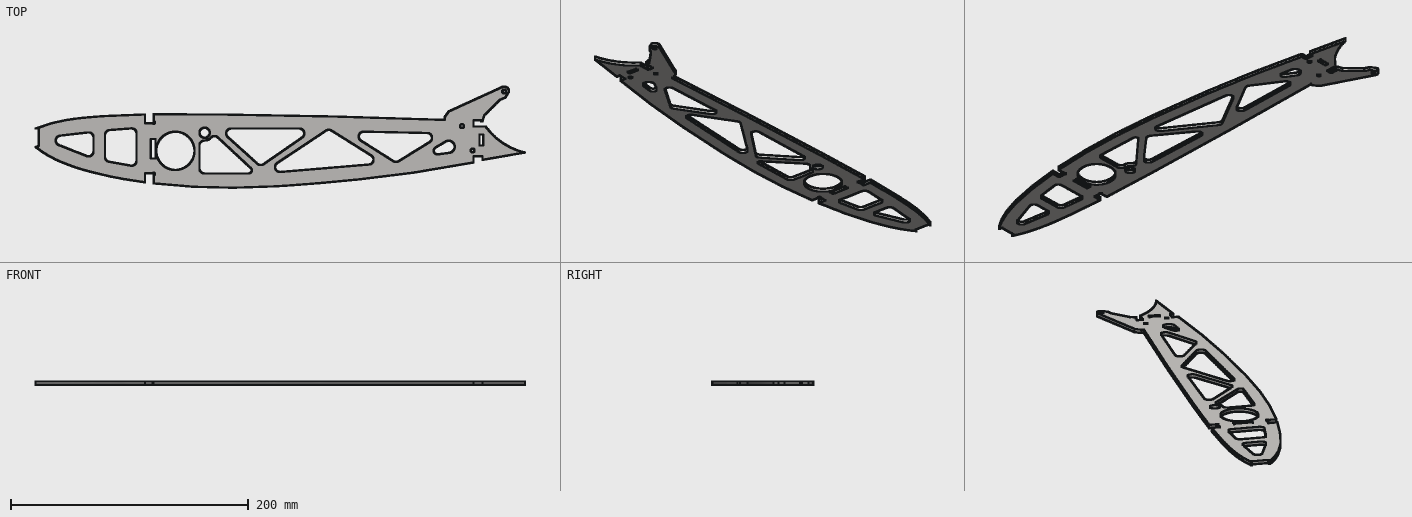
import cadquery as cq
import math

LENGTH = 411.85
HEIGHT = 85.2
THICKNESS = 3.0

NOSE_RECESS_X = 2.7
NOSE_TOP_Y = 49.8
NOSE_BOTTOM_Y = 34.3
NOSE_LIP = 0.9

BACK_END = (344.3, 57.2)
BACK_POINTS = [(16.4, 55.1), (51.8, 60.0), (92.0, 61.8), (188.0, 61.2), (252.0, 60.05), BACK_END]
BELLY_END = (368.5, 21.2)
BELLY_POINTS = [
    (314.7, 12.2),
    (239.0, 3.8),
    (164.0, 0.0),
    (99.5, 3.6),
    (75.0, 7.1),
    (48.0, 12.9),
    (16.4, 24.0),
]

SPAR_NOTCH_X = 92.2
SPAR_NOTCH_WIDTH = 7.3
BACK_NOTCH_FLOOR_Y = 54.4
BELLY_NOTCH_FLOOR_Y = 12.1
RELIEF_RADIUS = 1.0
RELIEF_OFFSET = 0.5

TAIL_NOTCH_X = 368.5
TAIL_NOTCH_WIDTH = 7.5
TAIL_NOTCH_FLOOR_Y = 26.5
TAIL_NOTCH_MOUTH_Y = 23.4
TAIL_TOP_Y = 51.7
TAIL_TOP_X = 378.6
TAIL_TIP = (LENGTH, 29.6)
TAIL_CURVE_MIDDLE = (390.5, 39.6)

ARM_END_RADIUS = 4.2
ARM_END = (394.3, HEIGHT - ARM_END_RADIUS)
ARM_FOOT = (344.0, 59.2)
ARM_SHOULDER = (347.6, 64.3)
ARM_UNDERSIDE_Y = 56.8
ARM_HOOK_DROP = 1.1
ARM_HOOK_WIDTH = 1.2
ARM_THROAT_LOW = (377.6, 60.8)
ARM_THROAT_HIGH = (390.6, 73.8)
ARM_NECK = (395.2, 75.8)

NOSE_WINDOW = [(4.8, 41.9), (48.7, 47.0), (48.7, 24.6)]
FRONT_WINDOW = [(58.6, 48.2), (84.9, 50.2), (84.9, 17.9), (58.6, 22.6)]
LOWER_FRONT_WINDOW = [(138.0, 56.6), (185.7, 12.2), (138.0, 12.2)]
UPPER_WINDOW = [(154.1, 49.7), (234.9, 49.7), (189.2, 18.1)]
LOWER_REAR_WINDOW = [(190.4, 12.1), (246.7, 49.5), (292.6, 20.7)]
REAR_WINDOW = [(261.7, 47.4), (343.2, 45.7), (303.3, 21.1)]
WINDOW_RADIUS = 4.0
SHARP_CORNER_RADIUS = 2.5

MAIN_HOLE = ((117.7, 31.1), 16.0)
TUBE_HOLE = ((142.3, 46.3), 4.2)
TUBE_LAND_RADIUS = 6.7
PIN_HOLE_RADIUS = 1.5
PIN_HOLES = [(358.8, 51.9), (367.7, 31.4), ARM_END]

TEARDROP_LARGE = ((347.6, 34.5), 5.0)
TEARDROP_SMALL = ((338.1, 31.2), 3.0)

FRONT_SLOT = ((97.0, 24.7), (3.8, 16.2))
TAIL_SLOT = ((373.6, 35.6), (3.0, 9.2))


def prism(sketch):
    return sketch.extrude(THICKNESS)


def disc(center, radius):
    return prism(cq.Workplane("XY").center(*center).circle(radius))


def block(corner, size):
    return prism(cq.Workplane("XY").center(*corner).rect(*size, centered=False))


def outer_tangent_points(first, second, side):
    """Touch points of two circles' common outer tangent; side is +1 (left of the way) or -1."""
    (x1, y1), r1 = first
    (x2, y2), r2 = second
    heading = math.atan2(y2 - y1, x2 - x1)
    angle = heading + side * math.acos((r1 - r2) / math.hypot(x2 - x1, y2 - y1))
    return [(x + r * math.cos(angle), y + r * math.sin(angle)) for (x, y), r in (first, second)]


def rib_plate():
    hook_x = TAIL_NOTCH_X + TAIL_NOTCH_WIDTH
    _, arm_tangent = outer_tangent_points((ARM_SHOULDER, 0), (ARM_END, ARM_END_RADIUS), 1)
    arm_crest = (ARM_END[0], HEIGHT)
    arm_side = (ARM_END[0] + ARM_END_RADIUS, ARM_END[1])
    outline = (
        cq.Workplane("XY")
        .moveTo(0, NOSE_TOP_Y)
        .spline(BACK_POINTS, includeCurrent=True)
        .lineTo(*ARM_FOOT)
        .lineTo(*ARM_SHOULDER)
        .lineTo(*arm_tangent)
        .threePointArc(arm_crest, arm_side)
        .lineTo(*ARM_NECK)
        .lineTo(*ARM_THROAT_HIGH)
        .lineTo(*ARM_THROAT_LOW)
        .lineTo(hook_x, ARM_UNDERSIDE_Y - ARM_HOOK_DROP)
        .lineTo(hook_x - ARM_HOOK_WIDTH, ARM_UNDERSIDE_Y - ARM_HOOK_DROP)
        .lineTo(hook_x - ARM_HOOK_WIDTH, ARM_UNDERSIDE_Y)
        .lineTo(TAIL_NOTCH_X, ARM_UNDERSIDE_Y)
        .lineTo(TAIL_NOTCH_X, TAIL_TOP_Y)
        .lineTo(TAIL_TOP_X, TAIL_TOP_Y)
        .threePointArc(TAIL_CURVE_MIDDLE, TAIL_TIP)
        .lineTo(hook_x, TAIL_NOTCH_MOUTH_Y)
        .lineTo(hook_x, TAIL_NOTCH_FLOOR_Y)
        .lineTo(TAIL_NOTCH_X, TAIL_NOTCH_FLOOR_Y)
        .lineTo(*BELLY_END)
        .spline(BELLY_POINTS + [(0, NOSE_BOTTOM_Y)], includeCurrent=True)
        .lineTo(NOSE_RECESS_X, NOSE_BOTTOM_Y + NOSE_LIP)
        .lineTo(NOSE_RECESS_X, NOSE_TOP_Y)
        .close()
    )
    return prism(outline)


def spar_notches():
    rear_x = SPAR_NOTCH_X + SPAR_NOTCH_WIDTH
    back = block((SPAR_NOTCH_X, BACK_NOTCH_FLOOR_Y), (SPAR_NOTCH_WIDTH, HEIGHT - BACK_NOTCH_FLOOR_Y))
    belly = block((SPAR_NOTCH_X, 0), (SPAR_NOTCH_WIDTH, BELLY_NOTCH_FLOOR_Y))
    notches = back.union(belly)
    for relief_y in (BACK_NOTCH_FLOOR_Y + RELIEF_OFFSET, BELLY_NOTCH_FLOOR_Y - RELIEF_OFFSET):
        notches = notches.union(disc((rear_x, relief_y), RELIEF_RADIUS))
    return notches


def window(corners):
    return prism(cq.Workplane("XY").polyline(corners).close()).edges("|Z").fillet(WINDOW_RADIUS)


def lower_front_window():
    """Triangular window that leaves a round land of material around the tube hole."""
    land = disc(TUBE_HOLE[0], TUBE_LAND_RADIUS)
    triangle = prism(cq.Workplane("XY").polyline(LOWER_FRONT_WINDOW).close())
    opening = cq.Workplane(triangle.cut(land).solids("<Y").val())
    rounded = opening.edges("|Z and (not >X)").fillet(WINDOW_RADIUS)
    return rounded.edges("|Z and >X").fillet(SHARP_CORNER_RADIUS)


def teardrop():
    large_left, small_left = outer_tangent_points(TEARDROP_LARGE, TEARDROP_SMALL, 1)
    large_right, small_right = outer_tangent_points(TEARDROP_LARGE, TEARDROP_SMALL, -1)
    neck = prism(cq.Workplane("XY").polyline([large_left, small_left, small_right, large_right]).close())
    return neck.union(disc(*TEARDROP_LARGE)).union(disc(*TEARDROP_SMALL))


result = rib_plate().cut(spar_notches())

for corners in (NOSE_WINDOW, FRONT_WINDOW, UPPER_WINDOW, LOWER_REAR_WINDOW, REAR_WINDOW):
    result = result.cut(window(corners))
result = result.cut(lower_front_window())

for center, radius in (MAIN_HOLE, TUBE_HOLE):
    result = result.cut(disc(center, radius))
for center in PIN_HOLES:
    result = result.cut(disc(center, PIN_HOLE_RADIUS))
result = result.cut(teardrop())

for corner, size in (FRONT_SLOT, TAIL_SLOT):
    result = result.cut(block(corner, size))